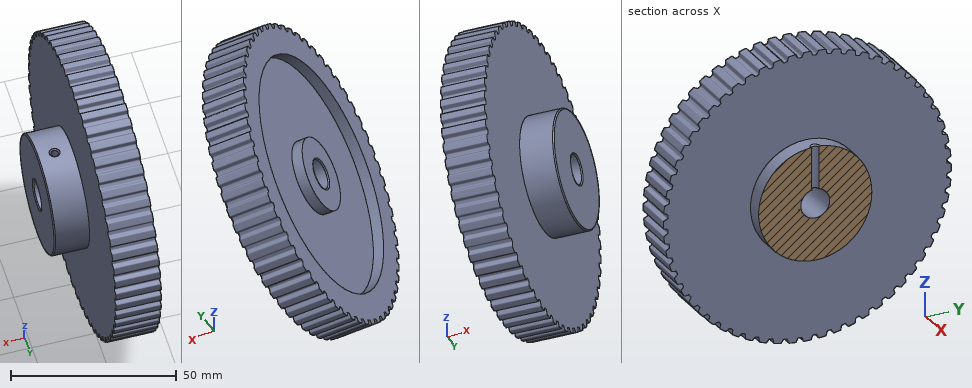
import cadquery as cq
import math

tooth_count = 60
outer_diameter = 96.5
rim_width = 14.3
total_width = 25.4

gap_depth = 1.4
gap_root_width = 1.3
flank_angle = 25.0
root_radius = 0.4
tip_radius = 0.4

recess_diameter = 77.2
recess_depth = 3.6
boss_diameter = 23.7

hub_diameter = 38.1
hub_chamfer = 0.4

bore_diameter = 9.6
bore_chamfer = 0.4
screw_diameter = 2.3
screw_mouth_diameter = 3.3

outer_radius = outer_diameter / 2
hub_radius = hub_diameter / 2
hub_length = total_width - rim_width
pitch_angle = 360 / tooth_count


def cylinder(diameter, start, length):
    """Solid cylinder along X, beginning at X = start."""
    return cq.Workplane("YZ", origin=(start, 0, 0)).circle(diameter / 2).extrude(length)


def make_toothed_rim():
    """Disc with trapezoidal gaps all around; a tooth is centred on +Z."""
    root_z = outer_radius - gap_depth
    root_half = gap_root_width / 2
    cut_height = 2 * gap_depth
    mouth_half = root_half + cut_height * math.tan(math.radians(flank_angle))
    gap = (
        cq.Workplane("YZ")
        .polyline([
            (-root_half, root_z),
            (root_half, root_z),
            (mouth_half, root_z + cut_height),
            (-mouth_half, root_z + cut_height),
        ])
        .close()
        .extrude(rim_width)
        .edges("|X and <Z")
        .fillet(root_radius)
        .val()
    )
    gaps = [
        gap.rotate((0, 0, 0), (1, 0, 0), (index + 0.5) * pitch_angle)
        for index in range(tooth_count)
    ]
    rim = cylinder(outer_diameter, 0, rim_width).cut(cq.Compound.makeCompound(gaps))

    tips = [
        edge for edge in rim.edges("|X").vals()
        if math.hypot(edge.Center().y, edge.Center().z) > outer_radius - gap_depth / 2
    ]
    return rim.newObject(tips).fillet(tip_radius)


def make_recess():
    """Ring removed from the X = 0 face."""
    return cylinder(recess_diameter, 0, recess_depth).cut(cylinder(boss_diameter, 0, recess_depth))


def make_hub():
    """Hub with a chamfered outer end."""
    return cylinder(hub_diameter, rim_width, hub_length).faces(">X").chamfer(hub_chamfer)


def make_bore():
    """Through bore, widened by a 45 degree chamfer at both ends."""
    bore_radius = bore_diameter / 2
    mouth_radius = bore_radius + bore_chamfer
    return (
        cq.Workplane("XY")
        .moveTo(0, 0)
        .lineTo(0, mouth_radius)
        .lineTo(bore_chamfer, bore_radius)
        .lineTo(total_width - bore_chamfer, bore_radius)
        .lineTo(total_width, mouth_radius)
        .lineTo(total_width, 0)
        .close()
        .revolve(360, (0, 0, 0), (1, 0, 0))
    )


def make_screw_hole():
    """Hole from the top of the hub into the bore, with a 45 degree countersink."""
    screw_radius = screw_diameter / 2
    mouth_radius = screw_mouth_diameter / 2
    sink_depth = mouth_radius - screw_radius
    return (
        cq.Workplane("XZ", origin=(rim_width + hub_length / 2, 0, 0))
        .moveTo(0, 0)
        .lineTo(screw_radius, 0)
        .lineTo(screw_radius, hub_radius - sink_depth)
        .lineTo(mouth_radius, hub_radius)
        .lineTo(0, hub_radius)
        .close()
        .revolve(360, (0, 0, 0), (0, 1, 0))
    )


result = (
    make_toothed_rim()
    .cut(make_recess())
    .union(make_hub())
    .cut(make_bore())
    .cut(make_screw_hole())
)